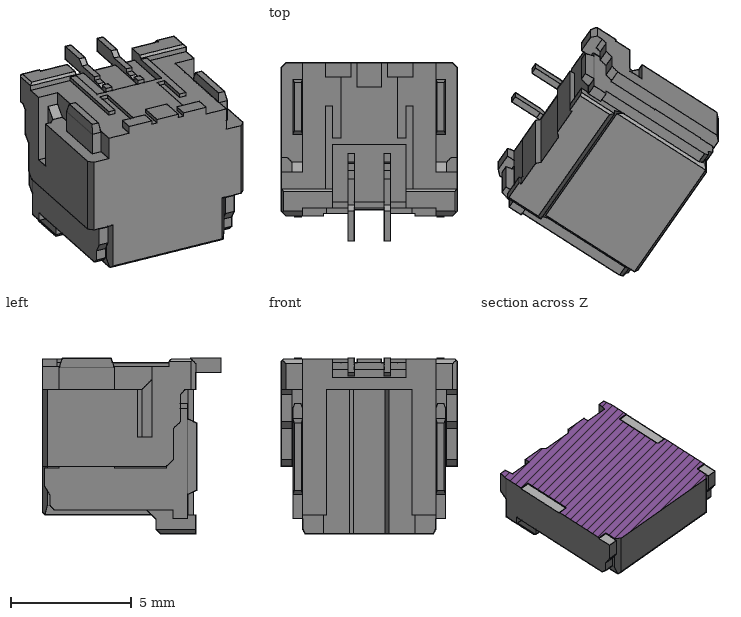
import cadquery as cq


depth = 6.36
half_width = 3.65
core_half_width = 2.757
core_front = 0.325
core_bottom = 0.79
core_top = 6.94
panel_top = 7.10
cap_top = 7.255
large_chamfer = 0.2
small_chamfer = 0.1

plate_bottom = 2.805
ledge_top = 5.985
head_back = 1.82
cap_back = 1.12
plate_front_low = 0.93
plate_front_high = 0.64
plate_step_bottom = 4.38
plate_step_top = 4.65
plate_chamfer = 0.28
plate_inner_front = plate_front_low + plate_chamfer
head_relief = 0.2
slot_back = 2.43
slot_floor_x = 3.2
slot_bottom = 4.01
gusset_size = 0.42

side_chamfer_width = 0.1
side_chamfer_height = 0.38
foot_back = 1.66
foot_inner = 1.89
foot_pad_top = 0.785
foot_slope_back = 2.22
foot_chamfer = 0.19
foot_side_chamfer = 0.1

rail_half_width = 1.77
rail_front = 0.1
groove_depth = 0.16
groove_floor_half_width = 0.65
groove_mouth_half_width = 0.815

panel_half_width = 1.165
panel_shoulder_front = 3.225
bar_half_width = 1.805
bar_back = 4.56
pocket_half_width = 1.515
pocket_back = 2.97
pocket_floor = 6.815
pocket_step = 0.577
pocket_front_floor = 6.485
outer_key_inner = 0.747
outer_key_outer = 1.805
outer_key_length = 0.605
center_key_half_width = 0.5
center_key_length = 1.02

clip_outer = 3.17
clip_front = 0.356
clip_top = 5.41
clip_point_height = 0.22
clip_point_inset = 0.08
clip_arm_top = 2.74
clip_arm_bottom = 0.985
clip_back = 6.28
clip_back_low = 6.05
clip_back_bend_top = 1.99
clip_back_bend_bottom = 1.61
clip_corner = 0.19
clip_foot_back = 0.96
clip_foot_bottom = 0.636
clip_inner_tip = 2.815
clip_outer_tip = 3.105
tab_back = 5.67
tab_front = 3.385
tab_bevel_bottom = 6.90
tab_top = 7.29
tab_end_bevel = 0.13
wing_top = 4.78
wing_bottom = 1.63
wing_end_bevel = 0.18
wing_front = -0.04

pin_pitch = 1.5
pin_width = 0.27
pin_tip = -1.04
pin_top = 7.3
pin_bottom = 6.69
pin_root_bottom = 6.55
pin_bend_front = 0.2
pin_bend_back = 0.45
pin_shoulder_top = 7.08
pin_shoulder_end = 1.54
pin_dip_top = 6.92
pin_dip_start = 1.89
pin_dip_bottom = 6.85
pin_dip_lip = 6.89
pin_bump_front = 2.175
pin_bump_edge = 2.24
pin_bump_back = 2.59
pin_bump_top = 7.03


def box(x0, x1, y0, y1, z0, z1):
    """Axis-aligned box between opposite corners."""
    return cq.Workplane("XY").box(x1 - x0, y1 - y0, z1 - z0, centered=False).translate((x0, y0, z0))


def centered_box(half, y0, y1, z0, z1):
    """Box symmetric about X = 0."""
    return box(-half, half, y0, y1, z0, z1)


def side_profile(points, x0, x1):
    """Prism along X from x0 to x1 over an outline of (y, z) points."""
    return cq.Workplane("YZ", origin=(x0, 0, 0)).polyline(points).close().extrude(x1 - x0)


def both_sides(shape):
    """The shape together with its mirror image about X = 0."""
    return shape.union(shape.mirror("YZ"))


def frustum(plane, base_level, base, tip_level, tip):
    """Bevelled block between two rectangles (u0, u1, v0, v1) on planes parallel to `plane`."""
    def rectangle(bounds, level):
        u0, u1, v0, v1 = bounds
        corners = [(u0, v0), (u1, v0), (u1, v1), (u0, v1)]
        axes = cq.Plane.named(plane)
        points = [axes.toWorldCoords((u, v, level)) for u, v in corners]
        return cq.Wire.makePolygon(points, close=True)

    solid = cq.Solid.makeLoft([rectangle(base, base_level), rectangle(tip, tip_level)], True)
    return cq.Workplane(solid)


def make_core():
    """Central body with bevelled sides along its underside."""
    chamfer_top = core_bottom + side_chamfer_height
    bottom_half_width = core_half_width - side_chamfer_width
    outline = [
        (-bottom_half_width, core_bottom),
        (bottom_half_width, core_bottom),
        (core_half_width, chamfer_top),
        (core_half_width, core_top),
        (-core_half_width, core_top),
        (-core_half_width, chamfer_top),
    ]
    body = cq.Workplane("XZ", origin=(0, depth, 0)).polyline(outline).close().extrude(depth - core_front)
    body = body.faces(">Y").edges("<Z").chamfer(small_chamfer)
    corner = (
        cq.Workplane("XY", origin=(0, 0, core_bottom))
        .polyline([
            (core_half_width, depth),
            (core_half_width - large_chamfer, depth),
            (core_half_width, depth - large_chamfer),
        ])
        .close()
        .extrude(plate_bottom - core_bottom)
    )
    return body.cut(both_sides(corner))


def make_side_plate():
    """Right-hand plate: thin outer part with a stepped front edge, plus the part behind the clip."""
    outer_outline = [
        (depth, plate_bottom),
        (plate_inner_front, plate_bottom),
        (plate_front_low, plate_bottom + plate_chamfer),
        (plate_front_low, plate_step_bottom),
        (plate_front_high, plate_step_top),
        (plate_front_high, ledge_top - head_relief),
        (plate_front_high - head_relief, ledge_top),
        (depth, ledge_top),
    ]
    plate = side_profile(outer_outline, slot_floor_x, half_width)
    inner = box(core_half_width, slot_floor_x, plate_inner_front, depth, plate_bottom, ledge_top)
    head_block = box(core_half_width, half_width, plate_front_high, head_back, ledge_top, core_top)
    plate = plate.union(inner).union(head_block)
    plate = plate.edges("|Z and >Y and >X").chamfer(large_chamfer)
    return plate.cut(make_slot()).union(make_gusset())


def make_slot():
    """Upright slot with one bevelled corner, open to the outside and to the ledge."""
    outline = [
        (half_width, head_back),
        (slot_floor_x, head_back),
        (slot_floor_x, slot_back - large_chamfer),
        (slot_floor_x + large_chamfer, slot_back),
        (half_width, slot_back),
    ]
    slot = cq.Workplane("XY", origin=(0, 0, slot_bottom)).polyline(outline).close()
    return slot.extrude(ledge_top - slot_bottom)


def make_gusset():
    """Wedge that rises from the ledge to the rear face of the head."""
    outline = [
        (head_back, ledge_top),
        (head_back + gusset_size, ledge_top),
        (head_back, ledge_top + gusset_size),
    ]
    return side_profile(outline, core_half_width, slot_floor_x)


def make_head_cap():
    """Right-hand end of the head: bevelled block that overhangs the front."""
    cap = box(pocket_half_width, half_width, 0, cap_back, ledge_top, cap_top)
    cap = cap.edges("|Z and <Y and >X").chamfer(large_chamfer)
    cap = cap.faces("<Y").edges(">Z").chamfer(large_chamfer)
    cap = cap.faces(">Z").edges(">Y or >X").chamfer(small_chamfer)
    front_recess = box(0, core_half_width, 0, core_front, 0, cap_top)
    return cap.cut(front_recess)


def make_foot():
    """Foot across the full core width, sloped behind, bevelled below, with a pad at each end."""
    slope_top = core_bottom + side_chamfer_height
    outline = [
        (core_front, 0),
        (foot_back - foot_chamfer, 0),
        (foot_back, foot_chamfer),
        (foot_back, slope_top - (foot_slope_back - foot_back)),
        (foot_slope_back, slope_top),
        (core_front, slope_top),
    ]
    foot = side_profile(outline, -core_half_width, core_half_width)
    pad = box(foot_inner, core_half_width, 0, core_front, 0, foot_pad_top)
    foot = foot.union(both_sides(pad))
    bevel = (
        cq.Workplane("XZ")
        .polyline([
            (core_half_width, 0),
            (core_half_width - foot_side_chamfer, 0),
            (core_half_width, foot_chamfer),
        ])
        .close()
        .extrude(-foot_slope_back)
    )
    return foot.cut(both_sides(bevel))


def make_front_rails():
    """Raised front panel, split by a groove with sloping sides."""
    rails = centered_box(rail_half_width, rail_front, core_front, 0, ledge_top)
    rails = rails.union(centered_box(foot_inner, rail_front, core_front, 0, foot_pad_top))
    groove = (
        cq.Workplane("XY")
        .polyline([
            (-groove_mouth_half_width, rail_front),
            (groove_mouth_half_width, rail_front),
            (groove_floor_half_width, rail_front + groove_depth),
            (-groove_floor_half_width, rail_front + groove_depth),
        ])
        .close()
        .extrude(ledge_top)
    )
    return rails.cut(groove)


def make_top_panel():
    """Raised panel with side bars, and the three keys along the back edge."""
    panel = centered_box(panel_half_width, cap_back, depth, core_top, panel_top)
    panel = panel.union(centered_box(pocket_half_width, cap_back, panel_shoulder_front, core_top, panel_top))
    bar = box(pocket_half_width, bar_half_width, cap_back, bar_back, core_top, panel_top)
    outer_key = box(outer_key_inner, outer_key_outer, depth - outer_key_length, depth, core_top, cap_top)
    center_key = centered_box(center_key_half_width, depth - center_key_length, depth, core_top, cap_top)
    return panel.union(both_sides(bar.union(outer_key))).union(center_key)


def make_pocket():
    """Stepped recess around the pins, open to the front."""
    rear = centered_box(pocket_half_width, 0, pocket_back, pocket_floor, cap_top)
    front = centered_box(pocket_half_width, 0, pocket_step, pocket_front_floor, cap_top)
    return rear.union(front)


def make_clip():
    """Right-hand clip: side arm with a pointed front post, a top tab and a front wing."""
    arm_outline = [
        (clip_back, clip_arm_top),
        (clip_back, clip_back_bend_top),
        (clip_back_low, clip_back_bend_bottom),
        (clip_back_low, clip_arm_bottom + clip_corner),
        (clip_back_low - clip_corner, clip_arm_bottom),
        (clip_foot_back, clip_arm_bottom),
        (clip_foot_back, clip_foot_bottom),
        (clip_front, clip_foot_bottom),
        (clip_front, plate_bottom),
        (plate_inner_front, plate_bottom),
        (plate_inner_front, clip_arm_top),
    ]
    arm = side_profile(arm_outline, core_half_width, clip_outer)

    post_shoulder = clip_top - clip_point_height
    post_outline = [
        (core_half_width, clip_arm_top),
        (core_half_width, post_shoulder),
        (core_half_width + clip_point_inset, clip_top),
        (clip_outer - clip_point_inset, clip_top),
        (clip_outer, post_shoulder),
        (clip_outer, clip_arm_top),
    ]
    post = cq.Workplane("XZ", origin=(0, plate_inner_front, 0)).polyline(post_outline).close()
    post = post.extrude(plate_inner_front - clip_front)

    tab = box(core_half_width, clip_outer, tab_front, tab_back, clip_arm_top, tab_bevel_bottom)
    tab_base = (core_half_width, clip_outer, tab_front, tab_back)
    tab_tip = (clip_inner_tip, clip_outer_tip, tab_front + tab_end_bevel, tab_back - tab_end_bevel)
    tab_point = frustum("XY", tab_bevel_bottom, tab_base, tab_top, tab_tip)

    wing_base = (core_half_width, clip_outer, wing_bottom, wing_top)
    wing_tip = (clip_inner_tip, clip_outer_tip, wing_bottom + wing_end_bevel, wing_top - wing_end_bevel)
    wing = frustum("XZ", -clip_front, wing_base, -wing_front, wing_tip)
    return arm.union(post).union(tab).union(tab_point).union(wing)


def make_pin():
    """Contact pin: straight tip, downward bend, stepped shoulder, rounded dip and end bump."""
    dip_middle = (pin_dip_start + pin_bump_front) / 2
    dip_quarter = pin_dip_bottom + (pin_dip_top - pin_dip_bottom) / 4
    outline = (
        cq.Workplane("YZ", origin=(-pin_width / 2, 0, 0))
        .moveTo(pin_tip, pin_bottom)
        .lineTo(pin_tip, pin_top)
        .lineTo(pin_bend_front, pin_top)
        .lineTo(pin_bend_back, pin_shoulder_top)
        .lineTo(pin_shoulder_end, pin_shoulder_top)
        .lineTo(pin_shoulder_end, pin_dip_top)
        .lineTo(pin_dip_start, pin_dip_top)
        .threePointArc((dip_middle, dip_quarter), (pin_bump_front, pin_dip_bottom))
        .lineTo(pin_bump_edge, pin_dip_lip)
        .lineTo(pin_bump_edge, pin_bump_top)
        .lineTo(pin_bump_back, pin_bump_top)
        .lineTo(pin_bump_back, pin_root_bottom)
        .lineTo(pin_bend_back, pin_root_bottom)
        .lineTo(pin_bend_front, pin_bottom)
        .close()
    )
    return outline.extrude(pin_width)


def make_housing():
    """All moulded features joined, with the pin pocket removed."""
    housing = make_core().union(both_sides(make_side_plate())).union(both_sides(make_head_cap()))
    housing = housing.union(make_foot()).union(make_front_rails()).union(make_top_panel())
    return housing.cut(make_pocket())


connector = make_housing().union(both_sides(make_clip()))
for pin_x in (-pin_pitch / 2, pin_pitch / 2):
    connector = connector.union(make_pin().translate((pin_x, 0, 0)))

result = connector